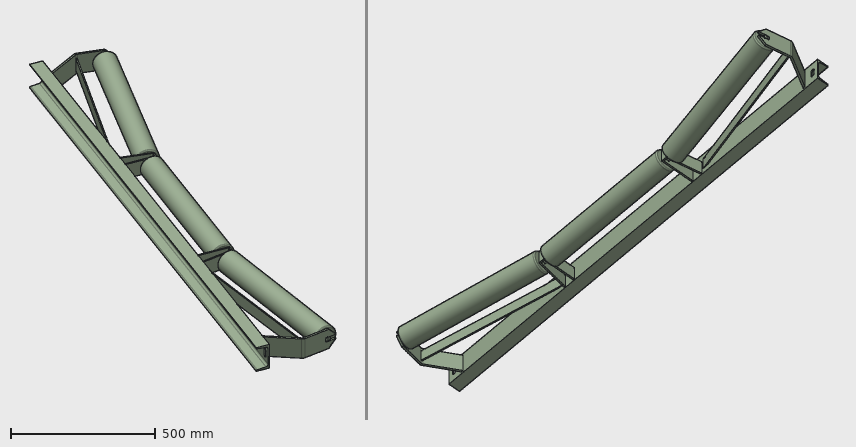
import cadquery as cq
import math

overall_length = 1913.73

beam_length = 1900.0
beam_height = 100.0
flange_width = 50.0
web_thickness = 5.0
flange_root_thickness = 10.0
flange_tip_thickness = 5.5
flange_root_radius = 8.5
flange_tip_radius = 4.0
mount_slot_width = 16.0
mount_slot_height = 34.0
mount_slot_x = 924.0

roller_radius = 44.5
roller_length = 600.0
roller_edge_radius = 5.0
shaft_radius = 11.0
shaft_flat_width = 17.0
inner_end_gap = 2.0
outer_end_gap = 5.5
middle_roller_y = 169.0
middle_roller_z = -20.0
side_roller_x = 631.0
side_roller_y = 223.4
side_roller_z = -10.7
troughing_angle = 10.0
side_roller_tilt = 1.8

inner_plate_top = 14.0
inner_plate_bottom = -46.0
outer_plate_height = 81.0
inner_plate_thickness = 6.0
bridge_y = 191.5
outer_plate_thickness = 8.0
outer_bend_radius = 18.0
foot_angle = 30.0
tip_y = 309.0
tip_chamfer = 30.0
brace_thickness = 5.0
brace_height = 50.0
brace_angle = 12.5
brace_root_y = 180.5

cos_trough = math.cos(math.radians(troughing_angle))
sin_trough = math.sin(math.radians(troughing_angle))
cos_foot = math.cos(math.radians(foot_angle))
sin_foot = math.sin(math.radians(foot_angle))

inner_plate_offset = roller_length / 2 + inner_end_gap
outer_plate_offset = roller_length / 2 + outer_end_gap


def upright(points, bottom, top):
    """Solid between two heights with the given XY outline."""
    return cq.Workplane("XY", origin=(0, 0, bottom)).polyline(points).close().extrude(top - bottom)


def beside_side_roller(along, across):
    """XY point given by its distances along and across the right-hand roller from its middle."""
    return (
        side_roller_x + along * cos_trough - across * sin_trough,
        side_roller_y + along * sin_trough + across * cos_trough,
    )


def on_end_plane(along, y):
    """XY point at a given Y on the line square to the right-hand roller at a distance along it."""
    across = (y - side_roller_y - along * sin_trough) / cos_trough
    return beside_side_roller(along, across)


def make_beam():
    """Channel with tapered flanges and an upright mounting slot near each end."""
    half = beam_height / 2
    web_y = flange_width - web_thickness
    root = half - flange_root_thickness
    tip = half - flange_tip_thickness
    outline = [
        (flange_width, half),
        (0, half),
        (0, tip),
        (web_y, root),
        (web_y, -root),
        (0, -tip),
        (0, -half),
        (flange_width, -half),
    ]
    beam = cq.Workplane("YZ").polyline(outline).close().extrude(beam_length / 2, both=True)
    for side in (1, -1):
        beam = beam.edges(cq.NearestToPointSelector((0, web_y, side * root))).fillet(flange_root_radius)
        beam = beam.edges(cq.NearestToPointSelector((0, 0, side * tip))).fillet(flange_tip_radius)
    slots = (
        cq.Workplane("XZ")
        .pushPoints([(-mount_slot_x, 0), (mount_slot_x, 0)])
        .slot2D(mount_slot_height, mount_slot_width, 90)
        .extrude(-flange_width)
    )
    return beam.cut(slots)


def cylinder_along_x(radius, start, end):
    return cq.Workplane("YZ", origin=(start, 0, 0)).circle(radius).extrude(end - start)


def make_roller(shaft_start, shaft_end):
    """Barrel centred on the origin along X, with its double-flatted shaft."""
    barrel = cylinder_along_x(roller_radius, -roller_length / 2, roller_length / 2)
    barrel = barrel.edges().fillet(roller_edge_radius)
    shaft_length = shaft_end - shaft_start
    flats = (
        cq.Workplane("XY")
        .box(shaft_length, 2 * shaft_radius, shaft_flat_width)
        .translate((shaft_start + shaft_length / 2, 0, 0))
    )
    shaft = cylinder_along_x(shaft_radius, shaft_start, shaft_end).intersect(flats)
    return barrel.union(shaft)


def place_side(body):
    """Move a body lying along X at the origin onto the right-hand roller axis."""
    body = body.rotate((0, 0, 0), (0, 1, 0), -side_roller_tilt)
    body = body.rotate((0, 0, 0), (0, 0, 1), troughing_angle)
    return body.translate((side_roller_x, side_roller_y, side_roller_z))


def place_middle(body):
    return body.translate((0, middle_roller_y, middle_roller_z))


def make_inner_bracket(middle_roller, side_roller):
    """Bent plate with one leg square to each of the two rollers that meet over it."""
    t = inner_plate_thickness
    near = inner_plate_offset
    side_face = -inner_plate_offset
    outline = [
        (near, flange_width),
        (near, bridge_y),
        on_end_plane(side_face, bridge_y),
        on_end_plane(side_face, flange_width),
        on_end_plane(side_face - t, flange_width),
        on_end_plane(side_face - t, bridge_y - t),
        (near + t, bridge_y - t),
        (near + t, flange_width),
    ]
    bracket = upright(outline, inner_plate_bottom, inner_plate_top)
    return bracket.cut(middle_roller).cut(side_roller)


half_turn = math.radians((troughing_angle + foot_angle) / 2)
bend_lean = math.radians((foot_angle - troughing_angle) / 2)


def outer_bend():
    """XY corner of the outer faces that puts the rounded bend at the overall length."""
    overshoot = outer_bend_radius * (math.cos(bend_lean) / math.cos(half_turn) - 1)
    x = overall_length / 2 + overshoot
    face_x, face_y = beside_side_roller(outer_plate_offset + outer_plate_thickness, 0)
    return x, face_y - (x - face_x) * cos_trough / sin_trough


bend_x, bend_y = outer_bend()


def foot_point(depth):
    """XY point where the foot meets the beam, at a depth below the outer face."""
    return (
        bend_x - (bend_y - flange_width) * sin_foot / cos_foot - depth / cos_foot,
        flange_width,
    )


def make_outer_bracket():
    """Bent plate from the beam to the outer end of the right-hand roller."""
    t = outer_plate_thickness
    inner_bend = (
        bend_x - t * math.cos(bend_lean) / math.cos(half_turn),
        bend_y + t * math.sin(bend_lean) / math.cos(half_turn),
    )
    tip_across = (tip_y - side_roller_y - outer_plate_offset * sin_trough) / cos_trough
    outline = [
        beside_side_roller(outer_plate_offset, tip_across),
        beside_side_roller(outer_plate_offset + t, tip_across),
        (bend_x, bend_y),
        foot_point(0),
        foot_point(t),
        inner_bend,
    ]
    bracket = upright(outline, -outer_plate_height / 2, outer_plate_height / 2)
    bracket = bracket.edges(cq.NearestToPointSelector((bend_x, bend_y, 0))).fillet(outer_bend_radius)
    bracket = bracket.edges(cq.NearestToPointSelector((*inner_bend, 0))).fillet(outer_bend_radius - t)

    corner_x, corner_y = beside_side_roller(outer_plate_offset + t / 2, tip_across)
    for side in (1, -1):
        corner = (corner_x, corner_y, side * outer_plate_height / 2)
        bracket = bracket.edges(cq.NearestToPointSelector(corner)).chamfer(tip_chamfer)

    slot_length = 2 * roller_radius
    slot = (
        cq.Workplane("XY")
        .box(4 * t, slot_length, shaft_flat_width)
        .translate((outer_plate_offset, slot_length / 2, 0))
        .rotate((0, 0, 0), (0, 0, 1), troughing_angle)
        .translate((side_roller_x, side_roller_y, 0))
    )
    return bracket.cut(slot)


def make_brace(outer_bracket):
    """Sloping flat bar from the beam to the inside of the outer bracket."""
    slope = math.tan(math.radians(brace_angle))
    t = brace_thickness / math.cos(math.radians(brace_angle))
    outer_x, root_y = on_end_plane(outer_plate_offset, brace_root_y)
    upper_run = (root_y - flange_width) / slope
    lower_x = on_end_plane(outer_plate_offset, root_y - t)[0]
    outline = [
        (outer_x, root_y),
        (outer_x - upper_run, flange_width),
        (outer_x - upper_run + t / slope, flange_width),
        (lower_x, root_y - t),
    ]
    return upright(outline, -brace_height / 2, brace_height / 2).cut(outer_bracket)


def both_sides(body):
    """The body on the +X side and its mirror image on the -X side."""
    return [body.val(), body.mirror("YZ").val()]


middle_shaft_length = 2 * (inner_plate_offset + inner_plate_thickness)
side_shaft_inner_end = -inner_plate_offset - inner_plate_thickness
side_shaft_outer_end = outer_plate_offset + outer_plate_thickness

beam = make_beam()
middle_roller = place_middle(make_roller(-middle_shaft_length / 2, middle_shaft_length / 2))
side_roller = place_side(make_roller(side_shaft_inner_end, side_shaft_outer_end))
inner_bracket = make_inner_bracket(middle_roller, side_roller)
outer_bracket = make_outer_bracket().cut(side_roller)
brace = make_brace(outer_bracket)

result = cq.Compound.makeCompound(
    [
        beam.val(),
        middle_roller.val(),
        *both_sides(side_roller),
        *both_sides(inner_bracket),
        *both_sides(outer_bracket),
        *both_sides(brace),
    ]
)